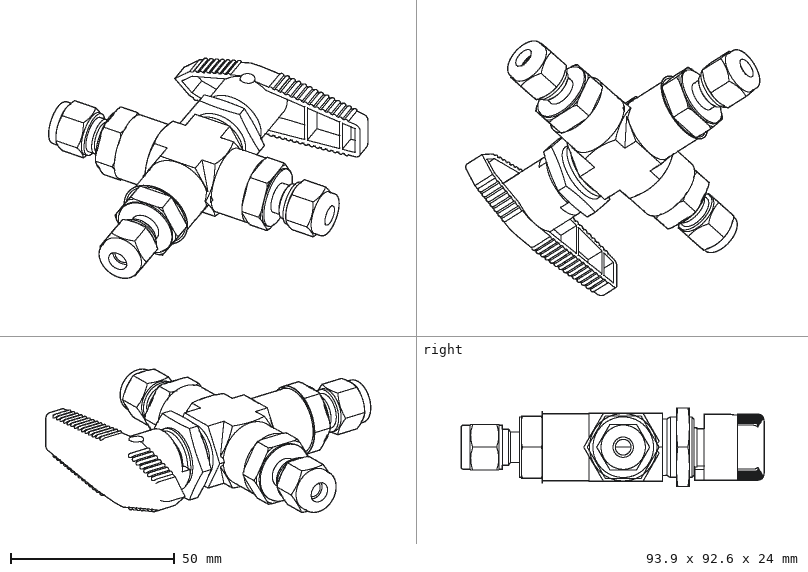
import cadquery as cq
import math


CORE_ACROSS = 20.8
CORE_CORNER = CORE_ACROSS / math.sqrt(3)
CORE_BOTTOM = -CORE_ACROSS / 2
CORE_TOP = CORE_CORNER
CORE_HALF_LENGTH = 11.5

SIDE_REACH = 46.95
BOTTOM_REACH = 49.5
BARREL_DIA = 20.6
SLEEVE_DIA = 13.5
SLEEVE_ROUND = 0.75
TUBE_NUT_ACROSS = 14.0
TUBE_NUT_OUTER = 2.8
TUBE_NUT_INNER = 11.6
SLEEVE_LENGTH = 12.6
SHOULDER_DIA = 11.1
SHOULDER_END = 14.6
NECK_DIA = 9.4
NECK_START = SHOULDER_END + (SHOULDER_DIA - NECK_DIA) / 2 * math.tan(math.radians(30))
END_FACE = 17.8
END_RING_DIA = 18.5
END_RING_THICKNESS = 0.6
END_HEX_ACROSS = 19.0
END_HEX_INNER = 24.9
BACKING_THICKNESS = 0.2
TUBE_HOLE_DIA = 6.2
TUBE_HOLE_DEPTH = 2.8
BORE_DIA = 4.8
PORT_HEX_ANGLE = 30.0

RELIEF_DIA = 17.3
THREAD_DIA = 18.5
THREAD_BOTTOM = 14.4
THREAD_RUNOUT = 1.0
THREAD_TOP = 21.6
THREAD_CHAMFER = 0.7
NECK_OVERLAP = 0.9

NUT_ACROSS = 24.0
NUT_BOTTOM = 16.2
NUT_TOP = 20.2
NUT_FACE_DIA = 23.85
NUT_CHAMFER_ANGLE = 12.0

STEM_DIA = 11.4
STEM_COLLAR_DIA = 12.0
STEM_COLLAR_HEIGHT = 0.8
STEM_DEPTH_IN_BODY = 7.5
STEM_DEPTH_IN_HUB = 13.1

HUB_DIA = 20.2
HUB_BOTTOM = 24.7
STOP_BOTTOM = 21.8
STOP_INNER_DIA = 13.5
HEAD_BOTTOM = 34.8
HEAD_LEFT = -25.2
HEAD_RIGHT = 38.9
LEFT_SHOULDER_X = -20.1
LEFT_SHOULDER_HALF = 4.8
CROWN_LEFT_X = -2.8
CROWN_RIGHT_X = 0.9
CROWN_HALF = HUB_DIA / 2
RIGHT_END_HALF = 6.3
TOP_LEFT_Y = 42.5
PEAK_X = 10.3
PEAK_Y = 43.1
TOP_RIGHT_Y = 41.3
END_ROUND = 1.8
TOP_ROUND = 1.9
SIDE_WALL = 1.7
TOP_WALL = 1.4
RIB_THICKNESS = 0.9
RIB_CENTRES = (20.2, 32.3)
SCREW_HOLE_DIA = 4.5
RIDGE_RADIUS = 0.75
RIDGE_INSET = 0.3
RIDGE_TOP = 0.7
RIDGE_GROUPS = ((-18.0, -6.5, 7), (8.0, 34.1, 14))


def corner_dia(across):
    """Diameter over the corners of a hexagon of the given width across flats."""
    return across * 2 / math.sqrt(3)


def disc_x(dia, start, end):
    """Cylinder on the X axis between two X positions."""
    return cq.Workplane("YZ").workplane(offset=start).circle(dia / 2).extrude(end - start)


def disc_y(dia, bottom, top):
    """Cylinder on the Y axis between two Y positions."""
    return cq.Workplane("XZ").workplane(offset=-top).circle(dia / 2).extrude(top - bottom)


def hex_x(across, start, end):
    """Hexagonal prism on the X axis with two flats parallel to the XY plane."""
    plane = cq.Workplane("YZ").workplane(offset=start)
    return plane.polygon(6, corner_dia(across)).extrude(end - start)


def turned_hex_x(across, face_dia, start, end, chamfer_angle=PORT_HEX_ANGLE):
    """Hexagonal prism on the X axis with turned conical chamfers at both ends."""
    corner = corner_dia(across) / 2
    face = face_dia / 2
    length = (corner - face) * math.tan(math.radians(chamfer_angle))
    envelope = (
        cq.Workplane("XY")
        .polyline([(start, 0), (start, face), (start + length, corner),
                   (end - length, corner), (end, face), (end, 0)])
        .close()
        .revolve(360, (0, 0, 0), (1, 0, 0))
    )
    return hex_x(across, start, end).intersect(envelope)


def turn(shape, angle):
    """Turn a shape about the Z axis."""
    return shape.rotate((0, 0, 0), (0, 0, 1), angle)


def x_to_y(shape):
    """Turn a shape built along +X so that it points along +Y."""
    return turn(shape, 90)


def make_core():
    """Two crossed hexagonal prisms, one along X and one along Y."""
    across = turned_hex_x(CORE_ACROSS, BARREL_DIA, -CORE_HALF_LENGTH, CORE_HALF_LENGTH)
    upright = x_to_y(hex_x(CORE_ACROSS, CORE_BOTTOM, CORE_TOP))
    return across.union(upright)


def make_port(reach, barrel_start):
    """Barrel, end connector and tube fitting of one port, along +X."""
    sleeve = disc_x(SLEEVE_DIA, reach - SLEEVE_LENGTH, reach).faces(">X").edges().fillet(SLEEVE_ROUND)
    connector = (
        cq.Workplane("XY")
        .polyline([
            (reach - SLEEVE_LENGTH, 0),
            (reach - SLEEVE_LENGTH, SHOULDER_DIA / 2),
            (reach - SHOULDER_END, SHOULDER_DIA / 2),
            (reach - NECK_START, NECK_DIA / 2),
            (reach - END_FACE, NECK_DIA / 2),
            (reach - END_FACE, END_RING_DIA / 2),
            (reach - END_HEX_INNER, END_RING_DIA / 2),
            (reach - END_HEX_INNER, BARREL_DIA / 2),
            (barrel_start, BARREL_DIA / 2),
            (barrel_start, 0),
        ])
        .close()
        .revolve(360, (0, 0, 0), (1, 0, 0))
    )
    tube_nut = turned_hex_x(TUBE_NUT_ACROSS, SLEEVE_DIA, reach - TUBE_NUT_INNER, reach - TUBE_NUT_OUTER)
    end_hex = turned_hex_x(
        END_HEX_ACROSS, BARREL_DIA, reach - END_HEX_INNER, reach - END_FACE - END_RING_THICKNESS
    )
    return connector.union(sleeve).union(tube_nut).union(end_hex)


def make_port_bore(reach):
    """Stepped bore along +X that ends on a hexagonal ridge of the core, level with Z = 0."""
    bore = disc_x(BORE_DIA, 0, reach).union(disc_x(TUBE_HOLE_DIA, reach - TUBE_HOLE_DEPTH, reach))
    core_outline = x_to_y(hex_x(CORE_ACROSS, -CORE_CORNER, CORE_CORNER))
    return bore.cut(core_outline)


def make_neck():
    """Relief and thread that carry the panel nut."""
    root = CORE_TOP - NECK_OVERLAP
    top_radius = THREAD_DIA / 2 - THREAD_CHAMFER
    return (
        cq.Workplane("XY")
        .polyline([
            (0, root),
            (RELIEF_DIA / 2, root),
            (RELIEF_DIA / 2, THREAD_BOTTOM - THREAD_RUNOUT),
            (THREAD_DIA / 2, THREAD_BOTTOM),
            (THREAD_DIA / 2, THREAD_TOP - THREAD_CHAMFER),
            (top_radius, THREAD_TOP),
            (0, THREAD_TOP),
        ])
        .close()
        .revolve(360, (0, 0, 0), (0, 1, 0))
    )


def make_body():
    """Core, threaded neck and the three ports."""
    body = make_core().union(make_neck())
    backing_top = BOTTOM_REACH - END_HEX_INNER
    ports = (
        (0, SIDE_REACH, CORE_HALF_LENGTH),
        (180, SIDE_REACH, CORE_HALF_LENGTH),
        (-90, BOTTOM_REACH, -CORE_BOTTOM),
    )
    for angle, reach, barrel_start in ports:
        body = body.union(turn(make_port(reach, barrel_start), angle))
        body = body.cut(turn(make_port_bore(reach), angle))
    body = body.union(disc_y(corner_dia(END_HEX_ACROSS), -backing_top - BACKING_THICKNESS, -backing_top))
    return body.cut(disc_y(STEM_DIA, THREAD_TOP - STEM_DEPTH_IN_BODY, THREAD_TOP))


def make_panel_nut():
    """Hexagonal nut on the threaded neck."""
    nut = x_to_y(turned_hex_x(NUT_ACROSS, NUT_FACE_DIA, NUT_BOTTOM, NUT_TOP, NUT_CHAMFER_ANGLE))
    return nut.cut(disc_y(THREAD_DIA, NUT_BOTTOM, NUT_TOP))


def make_stem():
    """Round stem with a collar that rests on the threaded neck."""
    shaft = disc_y(STEM_DIA, THREAD_TOP - STEM_DEPTH_IN_BODY, HUB_BOTTOM + STEM_DEPTH_IN_HUB)
    return shaft.union(disc_y(STEM_COLLAR_DIA, THREAD_TOP, THREAD_TOP + STEM_COLLAR_HEIGHT))


def head_plan():
    """Outline of the handle head looking along Y, at the head's underside."""
    upper = [
        (LEFT_SHOULDER_X, LEFT_SHOULDER_HALF),
        (CROWN_LEFT_X, CROWN_HALF),
        (CROWN_RIGHT_X, CROWN_HALF),
        (HEAD_RIGHT, RIGHT_END_HALF),
    ]
    lower = [(x, -z) for x, z in reversed(upper)]
    plane = cq.Workplane("XZ").workplane(offset=-HEAD_BOTTOM)
    return plane.polyline([(HEAD_LEFT, 0)] + upper + lower).close()


def head_side(drop):
    """Solid bounded above by the head's sloping top, lowered by the given drop."""
    return (
        cq.Workplane("XY")
        .polyline([
            (HEAD_LEFT, HEAD_BOTTOM),
            (HEAD_LEFT, TOP_LEFT_Y - drop),
            (PEAK_X, PEAK_Y - drop),
            (HEAD_RIGHT, TOP_RIGHT_Y - drop),
            (HEAD_RIGHT, HEAD_BOTTOM),
        ])
        .close()
        .extrude(HUB_DIA, both=True)
    )


def top_height(x):
    """Y of the head's top at a given X."""
    if x < PEAK_X:
        return TOP_LEFT_Y + (PEAK_Y - TOP_LEFT_Y) * (x - HEAD_LEFT) / (PEAK_X - HEAD_LEFT)
    return PEAK_Y + (TOP_RIGHT_Y - PEAK_Y) * (x - PEAK_X) / (HEAD_RIGHT - PEAK_X)


def half_width(x):
    """Half width along Z of the head on the sloping sides left and right of its crown."""
    if x < CROWN_LEFT_X:
        slope = (CROWN_HALF - LEFT_SHOULDER_HALF) / (CROWN_LEFT_X - LEFT_SHOULDER_X)
        return CROWN_HALF + slope * (x - CROWN_LEFT_X)
    slope = (RIGHT_END_HALF - CROWN_HALF) / (HEAD_RIGHT - CROWN_RIGHT_X)
    return CROWN_HALF + slope * (x - CROWN_RIGHT_X)


def make_ridge(x, side):
    """One round-topped finger grip ridge; side is +1 or -1 along Z."""
    top = top_height(x) - TOP_ROUND + RIDGE_TOP
    ridge = disc_y(2 * RIDGE_RADIUS, HEAD_BOTTOM, top)
    tip = cq.Workplane("XY").sphere(RIDGE_RADIUS).translate((0, top, 0))
    return ridge.union(tip).translate((x, 0, side * (half_width(x) - RIDGE_INSET)))


def make_pockets():
    """Hollows in the underside of the head, left and right of the hub."""
    height = PEAK_Y - HEAD_BOTTOM
    pockets = head_plan().offset2D(-SIDE_WALL, "intersection").extrude(-height)
    pockets = pockets.intersect(head_side(TOP_WALL))
    pockets = pockets.cut(disc_y(HUB_DIA, HEAD_BOTTOM, PEAK_Y))
    for x in RIB_CENTRES:
        rib = cq.Workplane("XY").box(RIB_THICKNESS, height, HUB_DIA)
        pockets = pockets.cut(rib.translate((x, HEAD_BOTTOM + height / 2, 0)))
    return pockets


def make_stop():
    """Quarter ring below the hub that limits the turn of the handle."""
    ring = disc_y(HUB_DIA, STOP_BOTTOM, HUB_BOTTOM).cut(disc_y(STOP_INNER_DIA, STOP_BOTTOM, HUB_BOTTOM))
    quarter = cq.Workplane("XY").box(HUB_DIA, HUB_BOTTOM, HUB_DIA, centered=False)
    return ring.intersect(quarter.translate((-HUB_DIA, 0, -HUB_DIA)))


def make_handle():
    """Hollow ribbed head with its hub, stop and finger grip ridges."""
    head = head_plan().extrude(HEAD_BOTTOM - PEAK_Y).intersect(head_side(0))
    head = head.edges("|Y and >X").fillet(END_ROUND)
    top_zone = cq.selectors.BoxSelector(
        (HEAD_LEFT, TOP_RIGHT_Y - TOP_ROUND, -HUB_DIA), (HEAD_RIGHT, PEAK_Y, HUB_DIA)
    )
    head = head.faces(top_zone).edges().fillet(TOP_ROUND)
    hub = disc_y(HUB_DIA, HUB_BOTTOM, HEAD_BOTTOM)
    handle = head.cut(make_pockets()).union(hub).union(make_stop())
    for first, last, count in RIDGE_GROUPS:
        pitch = (last - first) / (count - 1)
        for i in range(count):
            for side in (1, -1):
                handle = handle.union(make_ridge(first + i * pitch, side))
    screw_hole = (
        cq.Workplane("XY").center(0, HEAD_BOTTOM).circle(SCREW_HOLE_DIA / 2).extrude(HUB_DIA)
    )
    stem_hole = disc_y(STEM_DIA, HUB_BOTTOM, HUB_BOTTOM + STEM_DEPTH_IN_HUB)
    return handle.cut(screw_hole).cut(stem_hole)


body = make_body()
panel_nut = make_panel_nut()
stem = make_stem()
handle = make_handle()

result = cq.Compound.makeCompound([body.val(), panel_nut.val(), stem.val(), handle.val()])